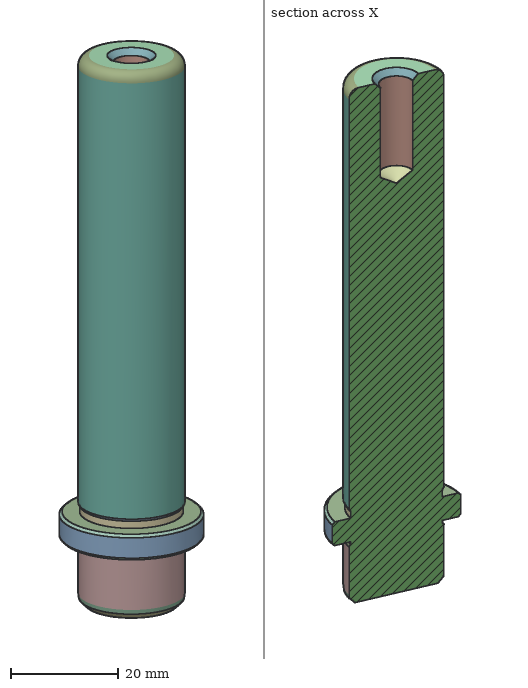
import cadquery as cq
import math

total_height = 108.0
body_radius = 20.0 / 2
top_rounding = 2.0

lead_in_top = 2.0
lead_in_reduction = 0.1
end_chamfer = 1.2

flange_radius = 13.5
flange_bottom = 13.0
flange_top = 18.0
flange_chamfer = 0.5

relief_depth = 0.3
relief_slope_height = 0.5
upper_relief_top = 20.0
lower_relief_bottom = 12.1

hole_radius = 3.3
hole_depth = 20.0
countersink_radius = 4.5
drill_point_angle = 120.0


def pin_body():
    """Full-length pin: chamfered lead-in below, relief grooves beside the flange, rounded top."""
    relief_radius = body_radius - relief_depth
    lead_in_radius = body_radius - lead_in_reduction
    pin = (
        cq.Workplane("XZ")
        .lineTo(lead_in_radius - end_chamfer, 0)
        .lineTo(lead_in_radius, end_chamfer)
        .lineTo(body_radius, lead_in_top)
        .lineTo(body_radius, lower_relief_bottom)
        .lineTo(relief_radius, lower_relief_bottom + relief_slope_height)
        .lineTo(relief_radius, upper_relief_top - relief_slope_height)
        .lineTo(body_radius, upper_relief_top)
        .lineTo(body_radius, total_height)
        .lineTo(0, total_height)
        .close()
        .revolve(360, (0, 0, 0), (0, 1, 0))
    )
    return pin.faces(">Z").edges().fillet(top_rounding)


def flange():
    """Collar with both rims chamfered."""
    collar = (
        cq.Workplane("XY")
        .workplane(offset=flange_bottom)
        .circle(flange_radius)
        .extrude(flange_top - flange_bottom)
    )
    return collar.faces("<Z or >Z").edges().chamfer(flange_chamfer)


def drilled_hole():
    """Countersunk blind hole with a conical drill point, entering from the top."""
    countersink_depth = countersink_radius - hole_radius
    hole_bottom = total_height - hole_depth
    point_depth = hole_radius / math.tan(math.radians(drill_point_angle / 2))
    return (
        cq.Workplane("XZ")
        .moveTo(0, total_height)
        .lineTo(countersink_radius, total_height)
        .lineTo(hole_radius, total_height - countersink_depth)
        .lineTo(hole_radius, hole_bottom)
        .lineTo(0, hole_bottom - point_depth)
        .close()
        .revolve(360, (0, 0, 0), (0, 1, 0))
    )


result = pin_body().union(flange()).cut(drilled_hole())